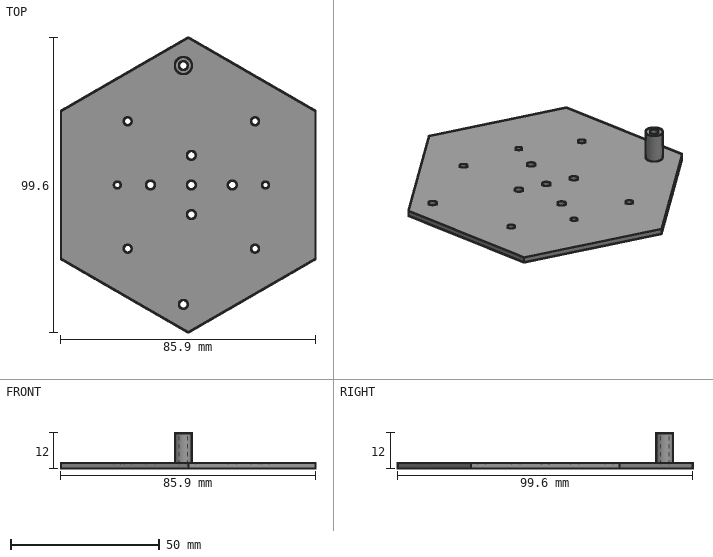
import cadquery as cq
import math

plate_width = 85.93
plate_length = 99.63
plate_thickness = 2.0
end_edge_angle = 30.0

standoff_diameter = 5.8
standoff_height = 10.0
overall_height = plate_thickness + standoff_height
standoff_hole_diameter = 2.9
standoff_x = -1.65
standoff_y = 40.3

pattern_x = 1.05
cross_hole_diameter = 2.9
cross_reach_x = 13.8
cross_reach_y = 10.0
corner_hole_diameter = 2.6
corner_spacing = 43.0
outer_hole_diameter = 2.25
outer_hole_spacing = 50.0


def make_plate():
    half_width = plate_width / 2
    half_length = plate_length / 2
    half_side = half_length - half_width * math.tan(math.radians(end_edge_angle))
    outline = [
        (0, half_length),
        (-half_width, half_side),
        (-half_width, -half_side),
        (0, -half_length),
        (half_width, -half_side),
        (half_width, half_side),
    ]
    return cq.Workplane("XY").polyline(outline).close().extrude(plate_thickness)


def make_standoff():
    return (
        cq.Workplane("XY")
        .center(standoff_x, standoff_y)
        .circle(standoff_diameter / 2)
        .extrude(overall_height)
    )


def drill_through(body, points, diameter):
    cutters = cq.Workplane("XY").pushPoints(points).circle(diameter / 2).extrude(overall_height)
    return body.cut(cutters)


standoff_holes = [(standoff_x, side * standoff_y) for side in (1, -1)]

cross_holes = [
    (pattern_x, 0),
    (pattern_x - cross_reach_x, 0),
    (pattern_x + cross_reach_x, 0),
    (pattern_x, cross_reach_y),
    (pattern_x, -cross_reach_y),
]

corner_holes = [
    (pattern_x + x_side * corner_spacing / 2, y_side * corner_spacing / 2)
    for x_side in (-1, 1)
    for y_side in (-1, 1)
]

outer_holes = [(pattern_x + side * outer_hole_spacing / 2, 0) for side in (-1, 1)]

result = make_plate().union(make_standoff())
result = drill_through(result, standoff_holes, standoff_hole_diameter)
result = drill_through(result, cross_holes, cross_hole_diameter)
result = drill_through(result, corner_holes, corner_hole_diameter)
result = drill_through(result, outer_holes, outer_hole_diameter)